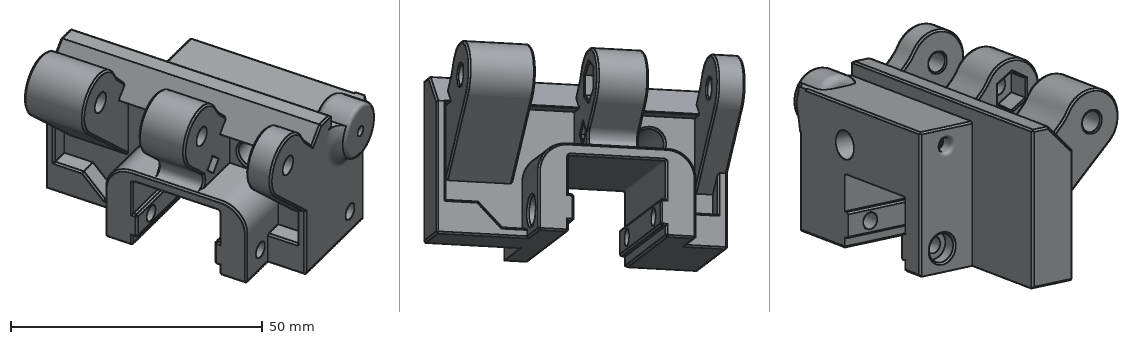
import cadquery as cq
import math

EDGE = 0.4
OVERLAP = 2.0

PLATE_LENGTH = 60.0
PLATE_DEPTH = 10.0
PLATE_HEIGHT = 33.0
PLATE_SLOPE = 6.0
SLOPE_START = PLATE_HEIGHT - PLATE_SLOPE

POCKET_DEPTH = 4.0
POCKET_WALL = 2.0
POCKET_LOW_FLOOR = 2.0
POCKET_HIGH_FLOOR = 7.0
POCKET_STEP_X = 8.6

BLOCK_LEFT = 20.0
BLOCK_BACK = 23.0
BLOCK_HEIGHT = 30.0

ARCH_CENTER = 35.0
ARCH_WIDTH = 32.6
ARCH_HEIGHT = 18.0
ARCH_RADIUS = 6.0
ARCH_REACH = 8.5
OPENING_WIDTH = 20.0
OPENING_HEIGHT = 15.5
OPENING_ROUND = 0.5
RAIL_BOTTOM = 2.25
RAIL_TOP = 7.7
RAIL_WIDTH = 1.1

PIVOT_Y = -7.0
PIVOT_Z = 31.0
KNUCKLE_RADIUS = 6.75
ARM_FOOT_Z = 11.7
NECK_RADIUS = 10.0
NECK_OFFSET = 6.1
LEFT_ARM = (3.0, 16.75)
MIDDLE_ARM = (29.45, 40.1)
RIGHT_ARM = (54.25, PLATE_LENGTH)
PIN_DIAMETER = 4.4
BOLT_DIAMETER = 4.1
PIN_CHAMFER = 0.3
NUT_FLATS = 7.0
NUT_DEPTH = 5.0
NUT_CHAMFER = 0.3
SLOT_SIDE = 3.1
SLOT_CHAMFER = 0.2
SLOT_Y = -2.5
SLOT_Z = 21.5

GUSSET_FACE_Y = -5.9
GUSSET_FILLET = 1.55

SCREW_Z = 5.0
SCREW_DIAMETER = 3.5
HEAD_DIAMETER = 6.0
HEAD_DEPTH = 3.0
FRONT_SCREW_Y = -3.0
REAR_SCREW_Y = 17.5

PASSAGE_X = 45.0
PASSAGE_Z = 21.5
PASSAGE_DIAMETER = 6.0

BOSS_Y = 16.5
BOSS_Z = 26.2
BOSS_RADIUS = 6.0
BOSS_START = 54.9
BOSS_END = 63.0
BOSS_INNER_ROUND = 2.0
BOSS_OUTER_ROUND = 0.8
BOSS_FILLET = 2.4
BORE_MOUTH_DIAMETER = 3.0
BORE_MOUTH_DEPTH = 3.0
BORE_ROUND = 0.8
BORE_DIAMETER = 2.2

FOOT_TO_PIVOT_Y = PIVOT_Y - POCKET_DEPTH
FOOT_TO_PIVOT_Z = PIVOT_Z - ARM_FOOT_Z
ARM_ANGLE = math.atan2(FOOT_TO_PIVOT_Z, -FOOT_TO_PIVOT_Y) - math.asin(
    KNUCKLE_RADIUS / math.hypot(FOOT_TO_PIVOT_Y, FOOT_TO_PIVOT_Z)
)


def prism_x(sketch_points, x_start, x_end):
    """Extrude a closed polygon of (y, z) points from x_start to x_end."""
    return (
        cq.Workplane("YZ", origin=(x_start, 0, 0)).polyline(sketch_points).close().extrude(x_end - x_start)
    )


def prism_y(sketch_points, y_start, y_end):
    """Extrude a closed polygon of (x, z) points from y_start to y_end."""
    return (
        cq.Workplane("XZ", origin=(0, y_start, 0)).polyline(sketch_points).close().extrude(y_start - y_end)
    )


def cylinder_x(diameter, y, z, x_start, x_end):
    return cq.Workplane("YZ", origin=(x_start, y, z)).circle(diameter / 2).extrude(x_end - x_start)


def cone_x(diameter, y, z, x, size):
    """Countersink cutter on a left-facing surface at x, chamfering a bore by the given size."""
    start = cq.Workplane("YZ", origin=(x, y, z)).circle(diameter / 2 + size)
    return start.workplane(offset=size).circle(diameter / 2).loft()


def make_plate():
    outline = [
        (0, 0),
        (PLATE_DEPTH, 0),
        (PLATE_DEPTH, PLATE_HEIGHT),
        (PLATE_SLOPE, PLATE_HEIGHT),
        (0, SLOPE_START),
    ]
    plate = prism_x(outline, 0, PLATE_LENGTH)
    plate = plate.faces("<X").edges().chamfer(EDGE)
    plate = plate.faces(">X").edges("not >Y").chamfer(EDGE)
    plate = plate.faces(">Z").edges(">Y").chamfer(EDGE)
    return plate.faces("<Z").edges("<Y").chamfer(EDGE)


def make_block():
    block = cq.Workplane("XY").box(
        PLATE_LENGTH - BLOCK_LEFT,
        BLOCK_BACK - PLATE_DEPTH + OVERLAP,
        BLOCK_HEIGHT,
        centered=False,
    )
    block = block.translate((BLOCK_LEFT, PLATE_DEPTH - OVERLAP, 0))
    block = block.faces(">Y").edges().chamfer(EDGE)
    block = block.faces("<X").edges("|Y and >Z").chamfer(EDGE)
    return block.faces(">X").edges("|Y and <Z").chamfer(EDGE)


def make_pocket():
    """Pocket cutter, with a chamfer around its mouth."""
    right = PLATE_LENGTH - POCKET_WALL
    step = POCKET_HIGH_FLOOR - POCKET_LOW_FLOOR
    outline = [
        (POCKET_WALL, POCKET_HIGH_FLOOR),
        (POCKET_STEP_X, POCKET_HIGH_FLOOR),
        (POCKET_STEP_X + step, POCKET_LOW_FLOOR),
        (ARCH_CENTER, POCKET_LOW_FLOOR),
        (ARCH_CENTER, POCKET_HIGH_FLOOR),
        (right, POCKET_HIGH_FLOOR),
        (right, SLOPE_START),
        (POCKET_WALL, SLOPE_START),
    ]
    recess = prism_y(outline, 0, POCKET_DEPTH)
    floor = cq.Workplane("XZ", origin=(0, EDGE, 0)).polyline(outline).close()
    mouth = floor.extrude(2 * EDGE, taper=-45)
    return recess.union(mouth)


def make_opening(y_start, y_end):
    """Cutter for the opening, leaving a rail on each side and flaring at the base."""
    half = OPENING_WIDTH / 2
    rail_face = half - RAIL_WIDTH
    right_side = [
        (half, OPENING_HEIGHT),
        (half, RAIL_TOP),
        (rail_face + EDGE, RAIL_TOP),
        (rail_face, RAIL_TOP - EDGE),
        (rail_face, RAIL_BOTTOM + EDGE),
        (rail_face + EDGE, RAIL_BOTTOM),
        (half, RAIL_BOTTOM),
        (half, EDGE),
        (half + EDGE, 0),
    ]
    left_side = [(-x, z) for x, z in reversed(right_side)]
    outline = [(ARCH_CENTER + x, z) for x, z in left_side + right_side]
    opening = prism_y(outline, y_start, y_end)
    return opening.faces(">Z").edges("|Y").fillet(OPENING_ROUND)


def make_arch():
    """Arch with its own stretch of the opening, chamfered along the front."""
    depth = ARCH_REACH + POCKET_DEPTH + OVERLAP
    arch = cq.Workplane("XY").box(ARCH_WIDTH, depth, ARCH_HEIGHT, centered=(True, False, False))
    arch = arch.translate((ARCH_CENTER, -ARCH_REACH, 0))
    arch = arch.edges("|Y and >Z").fillet(ARCH_RADIUS)
    arch = arch.edges("|Y and <Z").chamfer(EDGE)
    arch = arch.cut(make_opening(-ARCH_REACH, POCKET_DEPTH + OVERLAP))
    return arch.faces("<Y").edges().chamfer(EDGE)


def make_arm(x_start, x_end):
    """Hinge arm: a knuckle on a web rooted behind the pocket floor, with chamfered sides."""
    diagonal = math.sqrt(0.5)

    def on_knuckle(angle):
        return (
            PIVOT_Y + KNUCKLE_RADIUS * math.cos(angle),
            PIVOT_Z + KNUCKLE_RADIUS * math.sin(angle),
        )

    web_normal = math.pi / 4
    neck_center_distance = KNUCKLE_RADIUS + NECK_RADIUS
    neck_angle = web_normal - math.acos((NECK_OFFSET + NECK_RADIUS) / neck_center_distance)
    neck_y = PIVOT_Y + neck_center_distance * math.cos(neck_angle)
    neck_z = PIVOT_Z + neck_center_distance * math.sin(neck_angle)
    middle_angle = math.pi + (web_normal + neck_angle) / 2
    neck_middle = (
        neck_y + NECK_RADIUS * math.cos(middle_angle),
        neck_z + NECK_RADIUS * math.sin(middle_angle),
    )
    neck_end = (neck_y - NECK_RADIUS * diagonal, neck_z - NECK_RADIUS * diagonal)

    tangent_angle = 1.5 * math.pi - ARM_ANGLE
    outer_angle = (tangent_angle + neck_angle) / 2
    root_y = POCKET_DEPTH + OVERLAP
    root_drop = OVERLAP * math.tan(ARM_ANGLE)
    arm = (
        cq.Workplane("YZ", origin=(x_start, 0, 0))
        .moveTo(root_y, ARM_FOOT_Z - root_drop)
        .lineTo(*on_knuckle(tangent_angle))
        .threePointArc(on_knuckle(outer_angle), on_knuckle(neck_angle))
        .threePointArc(neck_middle, neck_end)
        .lineTo(root_y, neck_end[1] + neck_end[0] - root_y)
        .close()
        .extrude(x_end - x_start)
    )
    return arm.faces("<X or >X").edges().chamfer(EDGE)


def make_gusset():
    """Upright on top of the arch, blended into the arch and the middle arm."""
    start_x, end_x = MIDDLE_ARM
    slope = math.tan(ARM_ANGLE)
    corner_z = ARM_FOOT_Z + slope * (POCKET_DEPTH - GUSSET_FACE_Y)
    waist_z = ARCH_HEIGHT + GUSSET_FILLET
    tangent_length = corner_z - waist_z
    arm_blend_end = (
        GUSSET_FACE_Y - tangent_length * math.cos(ARM_ANGLE),
        corner_z + tangent_length * math.sin(ARM_ANGLE),
    )
    toe_y = GUSSET_FACE_Y - GUSSET_FILLET
    toe_blend = GUSSET_FILLET * (1 - math.sqrt(0.5))
    gusset = (
        cq.Workplane("YZ", origin=(start_x, 0, 0))
        .moveTo(OVERLAP, ARCH_HEIGHT - OVERLAP)
        .lineTo(toe_y, ARCH_HEIGHT - OVERLAP)
        .lineTo(toe_y, ARCH_HEIGHT)
        .threePointArc(
            (GUSSET_FACE_Y - toe_blend, ARCH_HEIGHT + toe_blend),
            (GUSSET_FACE_Y, waist_z),
        )
        .tangentArcPoint(arm_blend_end, relative=False)
        .lineTo(OVERLAP, arm_blend_end[1])
        .close()
        .extrude(end_x - start_x)
    )
    return gusset.faces("<X or >X").edges().chamfer(EDGE)


def make_boss():
    boss = cylinder_x(2 * BOSS_RADIUS, BOSS_Y, BOSS_Z, BOSS_START, BOSS_END)
    boss = boss.faces("<X").edges().fillet(BOSS_INNER_ROUND)
    boss = boss.faces(">X").edges().fillet(BOSS_OUTER_ROUND)

    rim = BOSS_RADIUS + BOSS_FILLET
    blend = BOSS_FILLET * (1 - math.sqrt(0.5))
    foot = (
        cq.Workplane("XY")
        .moveTo(PLATE_LENGTH - OVERLAP, 0)
        .lineTo(PLATE_LENGTH - OVERLAP, rim)
        .lineTo(PLATE_LENGTH, rim)
        .threePointArc(
            (PLATE_LENGTH + blend, BOSS_RADIUS + blend),
            (PLATE_LENGTH + BOSS_FILLET, BOSS_RADIUS),
        )
        .lineTo(PLATE_LENGTH + BOSS_FILLET, 0)
        .close()
        .revolve(360, (0, 0, 0), (1, 0, 0))
        .translate((0, BOSS_Y, BOSS_Z))
    )
    limit = cq.Workplane("XY").box(BOSS_END, BLOCK_BACK, BLOCK_HEIGHT, centered=False)
    return boss.union(foot.intersect(limit))


def screw_hole(y, face_x):
    """Through hole along X with a chamfered seat for the screw head on the left."""
    hole = cylinder_x(SCREW_DIAMETER, y, SCREW_Z, face_x, BOSS_END)
    seat = cylinder_x(HEAD_DIAMETER, y, SCREW_Z, face_x, face_x + HEAD_DEPTH)
    return hole.union(seat).union(cone_x(HEAD_DIAMETER, y, SCREW_Z, face_x, EDGE))


def pin_hole(arm, diameter):
    start_x, end_x = arm
    hole = cylinder_x(diameter, PIVOT_Y, PIVOT_Z, start_x, end_x)
    return hole.union(cone_x(diameter, PIVOT_Y, PIVOT_Z, start_x, PIN_CHAMFER))


def nut_pocket():
    start_x = MIDDLE_ARM[0]
    corners = NUT_FLATS / math.cos(math.pi / 6)

    def hexagon(x, diameter):
        plane = cq.Workplane("YZ", origin=(x, PIVOT_Y, PIVOT_Z)).transformed(rotate=(0, 0, 90))
        return plane.polygon(6, diameter)

    mouth_corners = corners * (1 + 2 * NUT_CHAMFER / NUT_FLATS)
    pocket = hexagon(start_x, corners).extrude(NUT_DEPTH)
    mouth = hexagon(start_x, mouth_corners).workplane(offset=NUT_CHAMFER)
    return pocket.union(mouth.polygon(6, corners).loft())


def arm_slot():
    """Square passage through the middle arm, turned to follow its slope."""
    start_x, end_x = MIDDLE_ARM
    plane = cq.Workplane("YZ", origin=(start_x, SLOT_Y, SLOT_Z))
    plane = plane.transformed(rotate=(0, 0, -math.degrees(ARM_ANGLE)))
    slot = plane.rect(SLOT_SIDE, SLOT_SIDE).extrude(end_x - start_x)
    mouth_side = SLOT_SIDE + 2 * SLOT_CHAMFER
    mouth = plane.rect(mouth_side, mouth_side).workplane(offset=SLOT_CHAMFER)
    return slot.union(mouth.rect(SLOT_SIDE, SLOT_SIDE).loft())


def passage():
    bore = cq.Workplane("XZ", origin=(PASSAGE_X, POCKET_DEPTH, PASSAGE_Z))
    hole = bore.circle(PASSAGE_DIAMETER / 2).extrude(POCKET_DEPTH - BLOCK_BACK)
    mouth = bore.circle(PASSAGE_DIAMETER / 2 + EDGE).workplane(offset=-EDGE)
    return hole.union(mouth.circle(PASSAGE_DIAMETER / 2).loft())


def boss_bore():
    """Bore along the boss axis with a rounded mouth on the left of the block."""
    wide = BORE_MOUTH_DIAMETER / 2
    narrow = BORE_DIAMETER / 2
    mouth_end = BLOCK_LEFT + BORE_MOUTH_DEPTH
    blend = BORE_ROUND * (1 - math.sqrt(0.5))
    return (
        cq.Workplane("XY")
        .moveTo(BLOCK_LEFT, 0)
        .lineTo(BLOCK_LEFT, wide + BORE_ROUND)
        .threePointArc((BLOCK_LEFT + blend, wide + blend), (BLOCK_LEFT + BORE_ROUND, wide))
        .lineTo(mouth_end, wide)
        .lineTo(mouth_end, narrow)
        .lineTo(BOSS_END, narrow)
        .lineTo(BOSS_END, 0)
        .close()
        .revolve(360, (0, 0, 0), (1, 0, 0))
        .translate((0, BOSS_Y, BOSS_Z))
    )


result = make_plate().union(make_block()).cut(make_pocket())

result = result.union(make_boss())
for arm_span in (LEFT_ARM, MIDDLE_ARM, RIGHT_ARM):
    result = result.union(make_arm(*arm_span))
result = result.cut(make_opening(-ARCH_REACH, BLOCK_BACK))

result = result.union(make_arch()).union(make_gusset())

result = result.cut(pin_hole(LEFT_ARM, PIN_DIAMETER))
result = result.cut(pin_hole(MIDDLE_ARM, BOLT_DIAMETER)).cut(nut_pocket())
result = result.cut(pin_hole(RIGHT_ARM, BOLT_DIAMETER))
result = result.cut(arm_slot())
result = result.cut(screw_hole(FRONT_SCREW_Y, ARCH_CENTER - ARCH_WIDTH / 2))
result = result.cut(screw_hole(REAR_SCREW_Y, BLOCK_LEFT))
result = result.cut(passage())
result = result.cut(boss_bore())